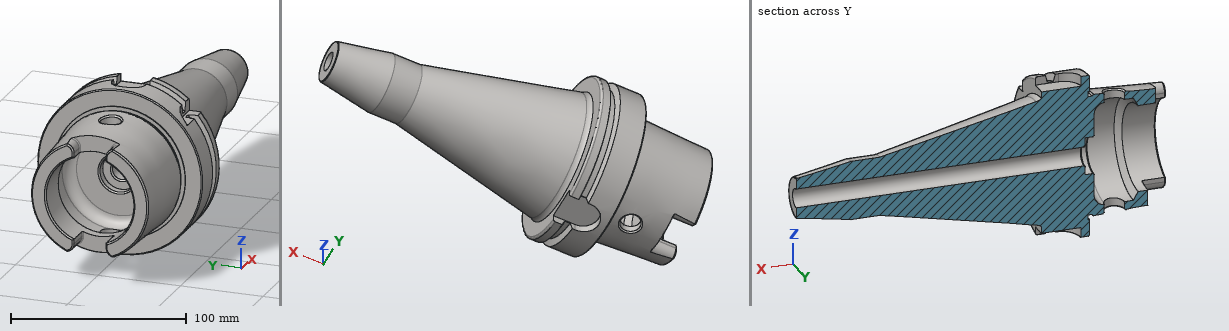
import cadquery as cq
import math

LENGTH = 227.8

SHANK_LENGTH = 50.0
TAPER_END = 47.5
NOSE_RADIUS = 35.5
TAPER_RADIUS = 37.8
NECK_RADIUS = 37.0
NOSE_CHAMFER = 1.0

FLANGE_RADIUS = 100.0 / 2
FLANGE_END = 79.0
FLANGE_CHAMFER = 0.7
FLANGE_REAR_FILLET = 1.4
GROOVE_CENTER = 70.0
GROOVE_RADIUS = 45.8
GROOVE_MOUTH_WIDTH = 6.2
GROOVE_FLOOR_WIDTH = 3.5
FACE_RELIEF_RADIUS = 39.6
FACE_RELIEF_DEPTH = 0.7

BLEND_RADIUS = 39.9
CONE_START = 82.5
CONE_RADIUS = 38.5
COLLAR_START = 177.2
COLLAR_END = 194.5
COLLAR_RADIUS = 36.5 / 2
TIP_RADIUS = 25.0 / 2
TIP_CHAMFER = 0.5

MOUTH_RADIUS = 53.0 / 2
MOUTH_DEPTH = 20.5
CHAMBER_RADIUS = 63.0 / 2
CHAMBER_DEPTH = 47.0
SHOULDER_ANGLE = 60
CHAMBER_FILLET = 6.4
PILOT_RADIUS = 22.5 / 2
PILOT_DEPTH = 52.5
CHANNEL_RADIUS = 11.5 / 2
BORE_CHAMFER = 1.0

DRIVE_SLOT_WIDTH = 19.4
DRIVE_FLAT_HEIGHT = 32.8
DRIVE_CORNER_RADIUS = 5.2
DRIVE_FLOOR_FILLET = 0.7
UPPER_DRIVE_DEPTH = 9.8
LOWER_DRIVE_DEPTH = 14.5

CROSS_HOLE_DIAMETER = 12.0
CROSS_HOLE_X = 34.9
CROSS_HOLE_CHAMFER = 1.0

KEYWAY_WIDTH = 20.0
KEYWAY_START = 55.1
KEYWAY_FLOOR = 44.0
NOTCH_WALL = 31.5
NOTCH_FLOOR = 31.5


def make_outer_body():
    groove_mouth = GROOVE_MOUTH_WIDTH / 2
    groove_floor = GROOVE_FLOOR_WIDTH / 2
    blend_middle = (
        FLANGE_END + 0.4 * (CONE_START - FLANGE_END),
        CONE_RADIUS + 0.4 * (BLEND_RADIUS - CONE_RADIUS),
    )
    profile = (
        cq.Workplane("XY")
        .moveTo(0, 0)
        .lineTo(0, NOSE_RADIUS - NOSE_CHAMFER)
        .lineTo(NOSE_CHAMFER, NOSE_RADIUS)
        .lineTo(TAPER_END, TAPER_RADIUS)
        .lineTo(TAPER_END + TAPER_RADIUS - NECK_RADIUS, NECK_RADIUS)
        .lineTo(SHANK_LENGTH + FACE_RELIEF_DEPTH, NECK_RADIUS)
        .lineTo(SHANK_LENGTH + FACE_RELIEF_DEPTH, FACE_RELIEF_RADIUS)
        .lineTo(SHANK_LENGTH, FACE_RELIEF_RADIUS)
        .lineTo(SHANK_LENGTH, FLANGE_RADIUS - FLANGE_CHAMFER)
        .lineTo(SHANK_LENGTH + FLANGE_CHAMFER, FLANGE_RADIUS)
        .lineTo(GROOVE_CENTER - groove_mouth, FLANGE_RADIUS)
        .lineTo(GROOVE_CENTER - groove_floor, GROOVE_RADIUS)
        .lineTo(GROOVE_CENTER + groove_floor, GROOVE_RADIUS)
        .lineTo(GROOVE_CENTER + groove_mouth, FLANGE_RADIUS)
        .lineTo(FLANGE_END - FLANGE_REAR_FILLET, FLANGE_RADIUS)
        .radiusArc((FLANGE_END, FLANGE_RADIUS - FLANGE_REAR_FILLET), FLANGE_REAR_FILLET)
        .lineTo(FLANGE_END, BLEND_RADIUS)
        .threePointArc(blend_middle, (CONE_START, CONE_RADIUS))
        .lineTo(COLLAR_START, COLLAR_RADIUS)
        .lineTo(COLLAR_END, COLLAR_RADIUS)
        .lineTo(LENGTH - TIP_CHAMFER, TIP_RADIUS)
        .lineTo(LENGTH, TIP_RADIUS - TIP_CHAMFER)
        .lineTo(LENGTH, 0)
        .close()
    )
    return profile.revolve(360, (0, 0, 0), (1, 0, 0))


def make_bore():
    shoulder_length = (CHAMBER_RADIUS - MOUTH_RADIUS) / math.tan(math.radians(SHOULDER_ANGLE))
    profile = (
        cq.Workplane("XY")
        .moveTo(0, 0)
        .lineTo(0, MOUTH_RADIUS + BORE_CHAMFER)
        .lineTo(BORE_CHAMFER, MOUTH_RADIUS)
        .lineTo(MOUTH_DEPTH, MOUTH_RADIUS)
        .lineTo(MOUTH_DEPTH + shoulder_length, CHAMBER_RADIUS)
        .lineTo(CHAMBER_DEPTH - CHAMBER_FILLET, CHAMBER_RADIUS)
        .radiusArc((CHAMBER_DEPTH, CHAMBER_RADIUS - CHAMBER_FILLET), CHAMBER_FILLET)
        .lineTo(CHAMBER_DEPTH, PILOT_RADIUS + BORE_CHAMFER)
        .lineTo(CHAMBER_DEPTH + BORE_CHAMFER, PILOT_RADIUS)
        .lineTo(PILOT_DEPTH, PILOT_RADIUS)
        .lineTo(PILOT_DEPTH, CHANNEL_RADIUS + BORE_CHAMFER)
        .lineTo(PILOT_DEPTH + BORE_CHAMFER, CHANNEL_RADIUS)
        .lineTo(LENGTH, CHANNEL_RADIUS)
        .lineTo(LENGTH, 0)
        .close()
    )
    return profile.revolve(360, (0, 0, 0), (1, 0, 0))


def draw_drive_slot(growth):
    half_slot = DRIVE_SLOT_WIDTH / 2 + growth
    flat_height = DRIVE_FLAT_HEIGHT - growth
    corner_radius = DRIVE_CORNER_RADIUS - growth
    corner_end = half_slot + corner_radius
    corner_start = flat_height - corner_radius
    return (
        cq.Workplane("YZ")
        .moveTo(-half_slot, 0)
        .lineTo(-half_slot, corner_start)
        .radiusArc((-corner_end, flat_height), -corner_radius)
        .lineTo(-FLANGE_RADIUS, flat_height)
        .lineTo(-FLANGE_RADIUS, FLANGE_RADIUS)
        .lineTo(FLANGE_RADIUS, FLANGE_RADIUS)
        .lineTo(FLANGE_RADIUS, flat_height)
        .lineTo(corner_end, flat_height)
        .radiusArc((half_slot, corner_start), -corner_radius)
        .lineTo(half_slot, 0)
        .close()
    )


def make_drive_slot(depth):
    slot = draw_drive_slot(0).extrude(depth).faces(">X").edges().fillet(DRIVE_FLOOR_FILLET)
    chamfer = draw_drive_slot(NOSE_CHAMFER).extrude(NOSE_CHAMFER, taper=45)
    return slot.union(chamfer)


def make_keyway(center_y, floor_z):
    nose_radius = KEYWAY_WIDTH / 2
    nose_center = KEYWAY_START + nose_radius
    return (
        cq.Workplane("XY", origin=(0, center_y, floor_z))
        .moveTo(FLANGE_END, -nose_radius)
        .lineTo(nose_center, -nose_radius)
        .threePointArc((KEYWAY_START, 0), (nose_center, nose_radius))
        .lineTo(FLANGE_END, nose_radius)
        .close()
        .extrude(FLANGE_RADIUS - floor_z)
    )


def turn_over(cutter):
    return cutter.rotate((0, 0, 0), (1, 0, 0), 180)


def drill_cross_hole(body):
    drill_radius = CROSS_HOLE_DIAMETER / 2
    drilled = body.cut(
        cq.Workplane("XY")
        .center(CROSS_HOLE_X, 0)
        .circle(drill_radius)
        .extrude(FLANGE_RADIUS, both=True)
    )
    for side in (1, -1):
        inner_corner = (CROSS_HOLE_X - 2 * drill_radius, -2 * drill_radius, side * CHAMBER_RADIUS)
        outer_corner = (CROSS_HOLE_X + 2 * drill_radius, 2 * drill_radius, side * FLANGE_RADIUS)
        rim = cq.selectors.BoxSelector(inner_corner, outer_corner)
        drilled = drilled.edges(rim).chamfer(CROSS_HOLE_CHAMFER)
    return drilled


keyway = make_keyway(0, KEYWAY_FLOOR)
corner_notch = make_keyway(-NOTCH_WALL - KEYWAY_WIDTH / 2, NOTCH_FLOOR)

cutters = [
    make_bore(),
    make_drive_slot(UPPER_DRIVE_DEPTH),
    turn_over(make_drive_slot(LOWER_DRIVE_DEPTH)),
    keyway,
    turn_over(keyway),
    corner_notch,
]

result = make_outer_body()
for cutter in cutters:
    result = result.cut(cutter)
result = drill_cross_hole(result)